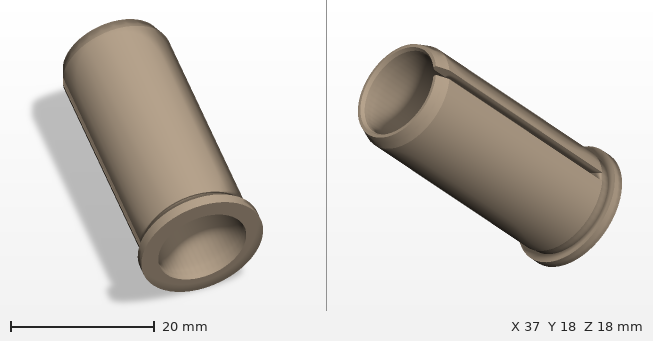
import cadquery as cq
import math

total_length = 37.0
flange_thickness = 1.5
groove_width = 1.5
flange_start = total_length - flange_thickness
body_end = flange_start - groove_width

flange_radius = 9.0
body_radius = 8.0
groove_radius = 7.75
bore_radius = 6.5

taper_length = 2.0
taper_angle = math.radians(20)
tip_outer_radius = body_radius - taper_length * math.tan(taper_angle)
bore_chamfer_length = 0.55
bore_chamfer_depth = 0.3
tip_inner_radius = bore_radius + bore_chamfer_depth

slot_width = 1.5
slot_end_setback = 1.08
slot_end_lip_radius = 7.87
cut_margin = 1.0


def make_sleeve():
    """Flanged tube revolved about the X axis."""
    profile = [
        (0, tip_inner_radius),
        (0, tip_outer_radius),
        (taper_length, body_radius),
        (body_end, body_radius),
        (body_end, groove_radius),
        (flange_start, groove_radius),
        (flange_start, flange_radius),
        (total_length, flange_radius),
        (total_length, bore_radius),
        (bore_chamfer_length, bore_radius),
    ]
    return cq.Workplane("XZ").polyline(profile).close().revolve(axisStart=(0, 0, 0), axisEnd=(1, 0, 0))


def make_slot_cutter():
    """Bar that opens the wall from the tip to the groove, its end sloping inward toward the tip."""
    inner_y = -(bore_radius - cut_margin)
    outer_y = -(body_radius + cut_margin)
    slope = slot_end_setback / (slot_end_lip_radius - bore_radius)
    inner_end = body_end - slope * (slot_end_lip_radius + inner_y)
    outline = [
        (-cut_margin, inner_y),
        (inner_end, inner_y),
        (body_end, -slot_end_lip_radius),
        (body_end, outer_y),
        (-cut_margin, outer_y),
    ]
    return cq.Workplane("XY").polyline(outline).close().extrude(slot_width / 2, both=True)


result = make_sleeve().cut(make_slot_cutter())